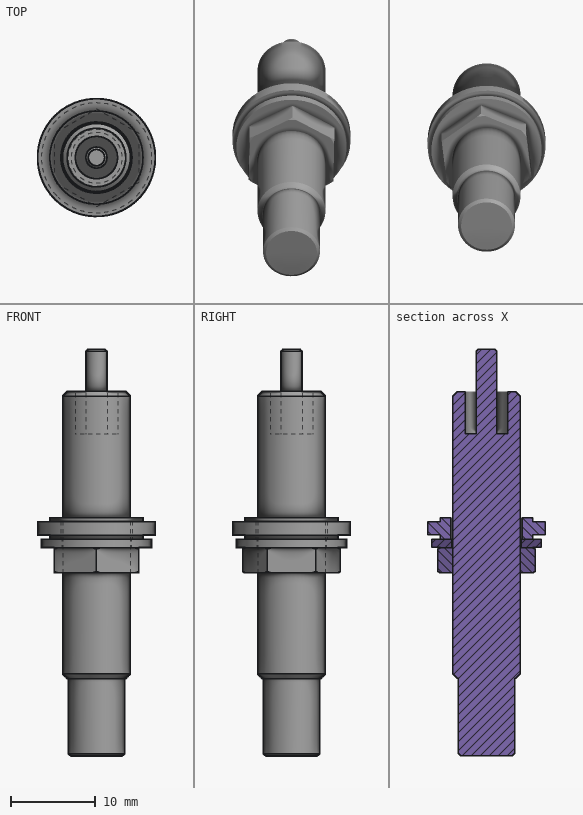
import cadquery as cq
import math

total_height = 48.0
rod_diameter = 2.5
rod_projection = 5.0
rod_chamfer = 0.3
bore_diameter = 5.0
bore_depth = 5.0
barrel_diameter = 8.0
barrel_top = total_height - rod_projection
barrel_bottom = 9.7
barrel_end_diameter = 6.9
barrel_chamfer = (barrel_diameter - barrel_end_diameter) / 2
stub_diameter = 6.7
stub_end_diameter = 6.0
stub_chamfer_height = 0.3

nut_bottom = 21.6
nut_height = 3.0
nut_across_flats = 10.0
nut_across_corners = nut_across_flats / math.cos(math.radians(30))
nut_face_diameter = 11.0
nut_chamfer_angle = 30.0

washer_diameter = 13.0
washer_hole = 8.2
washer_thickness = 1.0

seal_diameter = 13.9
seal_lip_diameter = 11.0
seal_hole = 8.4
seal_rim_thickness = 1.6
seal_lip_height = 0.5


def cylinder(diameter, bottom, height):
    """Upright cylinder on the Z axis."""
    return cq.Workplane("XY").workplane(offset=bottom).circle(diameter / 2).extrude(height)


def make_barrel():
    """Stepped barrel whose rod rises from the floor of the top bore."""
    profile = [
        (0, 0),
        (stub_end_diameter / 2, 0),
        (stub_diameter / 2, stub_chamfer_height),
        (stub_diameter / 2, barrel_bottom - barrel_chamfer),
        (barrel_end_diameter / 2, barrel_bottom - barrel_chamfer),
        (barrel_diameter / 2, barrel_bottom),
        (barrel_diameter / 2, barrel_top - barrel_chamfer),
        (barrel_end_diameter / 2, barrel_top),
        (bore_diameter / 2, barrel_top),
        (bore_diameter / 2, barrel_top - bore_depth),
        (rod_diameter / 2, barrel_top - bore_depth),
        (rod_diameter / 2, total_height - rod_chamfer),
        (rod_diameter / 2 - rod_chamfer, total_height),
        (0, total_height),
    ]
    return cq.Workplane("XZ").polyline(profile).close().revolve(360, (0, 0), (0, 1))


def make_nut():
    """Hex nut with conical chamfers trimming its corners at both ends."""
    hexagon = (
        cq.Workplane("XY")
        .workplane(offset=nut_bottom)
        .transformed(rotate=(0, 0, 90))
        .polygon(6, nut_across_corners)
        .extrude(nut_height)
    )
    corner_radius = nut_across_corners / 2
    face_radius = nut_face_diameter / 2
    corner_drop = (corner_radius - face_radius) * math.tan(math.radians(nut_chamfer_angle))
    nut_top = nut_bottom + nut_height
    envelope_profile = [
        (0, nut_bottom),
        (face_radius, nut_bottom),
        (corner_radius, nut_bottom + corner_drop),
        (corner_radius, nut_top - corner_drop),
        (face_radius, nut_top),
        (0, nut_top),
    ]
    envelope = cq.Workplane("XZ").polyline(envelope_profile).close().revolve(360, (0, 0), (0, 1))
    return hexagon.intersect(envelope).cut(cylinder(barrel_diameter, nut_bottom, nut_height))


def make_washer():
    """Flat ring resting on the nut."""
    bottom = nut_bottom + nut_height
    disc = cylinder(washer_diameter, bottom, washer_thickness)
    return disc.cut(cylinder(washer_hole, bottom, washer_thickness))


def make_seal():
    """Ring with a wide rim and a narrower lip above and below it."""
    bottom = nut_bottom + nut_height + washer_thickness
    height = seal_rim_thickness + 2 * seal_lip_height
    lips = cylinder(seal_lip_diameter, bottom, height)
    rim = cylinder(seal_diameter, bottom + seal_lip_height, seal_rim_thickness)
    return lips.union(rim).cut(cylinder(seal_hole, bottom, height))


barrel = make_barrel()
nut = make_nut()
washer = make_washer()
seal = make_seal()

result = cq.Compound.makeCompound([barrel.val(), nut.val(), washer.val(), seal.val()])